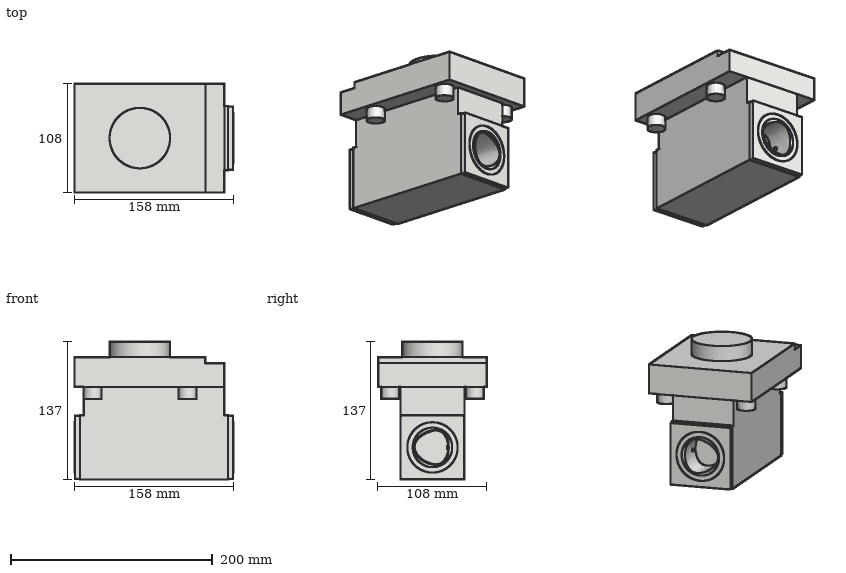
import cadquery as cq
import math

body_length = 147.0
body_width = 63.8
body_height = 64.0
neck_length = 139.5

cover_bottom = 92.0
cover_thickness = 29.6
cover_width = 108.0
cover_upper_length = 130.0
cover_step_length = 18.8
cover_step_drop = 6.1

boss_diameter = 60.0
boss_height = 15.4

bolt_diameter = 18.0
bolt_height = 12.0
bolt_inset = 18.1
bolt_spacing_x = 94.0
bolt_spacing_y = 84.0

flange_size = 63.0
flange_thickness = 5.0
flange_corner_radius = 1.0
ring_outer_diameter = 50.01
ring_inner_diameter = 39.2
ring_height = 0.5
bore_lobes = 3
bore_flat_ratio = 0.875
bore_mouth_radius = 18.5
bore_floor_radius = 17.8
bore_depth = 30.0

pin_diameter = 3.0
pin_tip_y = 14.5
pin_length = 3.0
pin_depth = 22.0

cover_top = cover_bottom + cover_thickness
flange_face = body_length / 2 + flange_thickness
port_height = body_height / 2
cover_left = -(flange_face + ring_height)
cover_length = cover_upper_length + cover_step_length
boss_x = cover_left + cover_upper_length / 2
bolt_center_x = cover_left + bolt_inset + bolt_spacing_x / 2


def box_on(length, width, height, center_x, bottom):
    """Box centred on Y = 0 with its underside at the given height."""
    base = cq.Workplane("XY").workplane(offset=bottom).center(center_x, 0)
    return base.rect(length, width).extrude(height)


def make_body():
    block = box_on(body_length, body_width, body_height, 0, 0)
    neck = box_on(neck_length, body_width, cover_bottom, 0, 0)
    return block.union(neck)


def make_cover():
    lower_thickness = cover_thickness - cover_step_drop
    lower_center = cover_left + cover_length / 2
    lower = box_on(cover_length, cover_width, lower_thickness, lower_center, cover_bottom)
    upper = box_on(cover_upper_length, cover_width, cover_thickness, boss_x, cover_bottom)
    return lower.union(upper)


def make_boss():
    base = cq.Workplane("XY").workplane(offset=cover_top).center(boss_x, 0)
    return base.circle(boss_diameter / 2).extrude(boss_height)


def make_bolts():
    base = cq.Workplane("XY").workplane(offset=cover_bottom - bolt_height).center(bolt_center_x, 0)
    return base.rarray(bolt_spacing_x, bolt_spacing_y, 2, 2).circle(bolt_diameter / 2).extrude(bolt_height)


def port_plane(x):
    """YZ plane at the given X, centred on the port axis (local x = Y, local y = Z)."""
    return cq.Workplane("YZ", origin=(x, 0, port_height))


def make_flange():
    flange = port_plane(body_length / 2).rect(flange_size, flange_size).extrude(flange_thickness)
    flange = flange.edges("|X").fillet(flange_corner_radius)
    ring = port_plane(flange_face).circle(ring_outer_diameter / 2).circle(ring_inner_diameter / 2)
    return flange.union(ring.extrude(ring_height))


def rounded_triangle(x, tip_radius):
    """Smooth closed outline through three tips, one of them at -Y, and the three flats between."""
    points = []
    for i in range(2 * bore_lobes):
        radius = tip_radius if i % 2 == 0 else tip_radius * bore_flat_ratio
        angle = math.pi + i * math.pi / bore_lobes
        points.append(cq.Vector(x, radius * math.cos(angle), port_height + radius * math.sin(angle)))
    return cq.Wire.assembleEdges([cq.Edge.makeSpline(points, periodic=True)])


def make_bore():
    """Rounded-triangle bore, narrowing slightly towards its floor."""
    mouth = rounded_triangle(flange_face, bore_mouth_radius)
    floor = rounded_triangle(flange_face - bore_depth, bore_floor_radius)
    return cq.Workplane(cq.Solid.makeLoft([floor, mouth], True))


def make_pin():
    base = cq.Workplane("XZ", origin=(flange_face - pin_depth, pin_tip_y, port_height))
    return base.circle(pin_diameter / 2).extrude(-pin_length)


def at_both_ends(shape):
    return shape.union(shape.mirror("YZ"))


result = make_body().union(make_cover()).union(make_boss()).union(make_bolts())
result = result.union(at_both_ends(make_flange())).cut(at_both_ends(make_bore()))
result = result.union(at_both_ends(make_pin()))